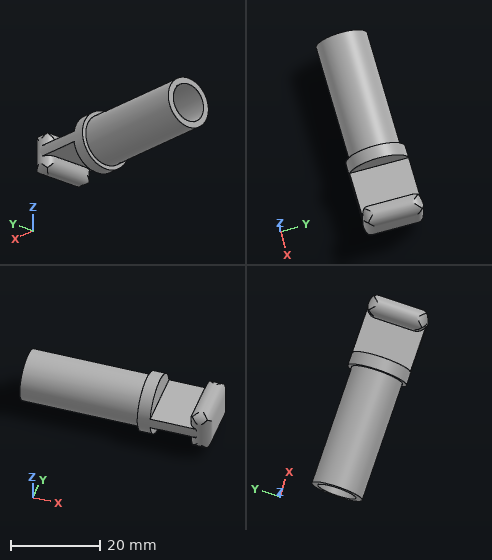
import cadquery as cq

total_length = 45.0
tube_length = 28.0
tube_diameter = 12.0
bore_diameter = 9.0
bore_depth = tube_length
collar_diameter = 14.0
collar_thickness = 3.0
web_thickness = 2.6
head_thickness = 5.0
head_height = 10.0

head_width = collar_diameter
head_radius = head_thickness / 2
head_center_x = total_length - head_radius
collar_end = tube_length + collar_thickness


def axial_cylinder(start, end, diameter):
    """Solid cylinder around the X axis between two X positions."""
    return cq.Workplane("YZ", origin=(start, 0, 0)).circle(diameter / 2).extrude(end - start)


def make_web():
    """Flat web whose long edges follow the collar's cylinder, ending in the middle of the head."""
    web_length = head_center_x - tube_length
    slab = cq.Workplane("XY").box(web_length, collar_diameter, web_thickness)
    slab = slab.translate((tube_length + web_length / 2, 0, 0))
    return axial_cylinder(tube_length, head_center_x, collar_diameter).intersect(slab)


def make_head():
    """Crossbar common to three rounded profiles, so its rounded sides meet in mitred corners."""
    side_profile = (
        cq.Workplane("XZ").slot2D(head_height, head_thickness, 90)
        .extrude(head_width / 2, both=True)
    )
    plan_profile = (
        cq.Workplane("XY").slot2D(head_width, head_thickness, 90)
        .extrude(head_height / 2, both=True)
    )
    end_profile = (
        cq.Workplane("YZ").rect(head_width, head_height)
        .extrude(head_thickness / 2, both=True)
        .edges("|X").fillet(head_radius)
    )
    head = side_profile.intersect(plan_profile).intersect(end_profile)
    return head.translate((head_center_x, 0, 0))


tube = axial_cylinder(0, tube_length, tube_diameter)
collar = axial_cylinder(tube_length, collar_end, collar_diameter)
bore = axial_cylinder(0, bore_depth, bore_diameter)

result = tube.union(collar).union(make_web()).union(make_head()).cut(bore)